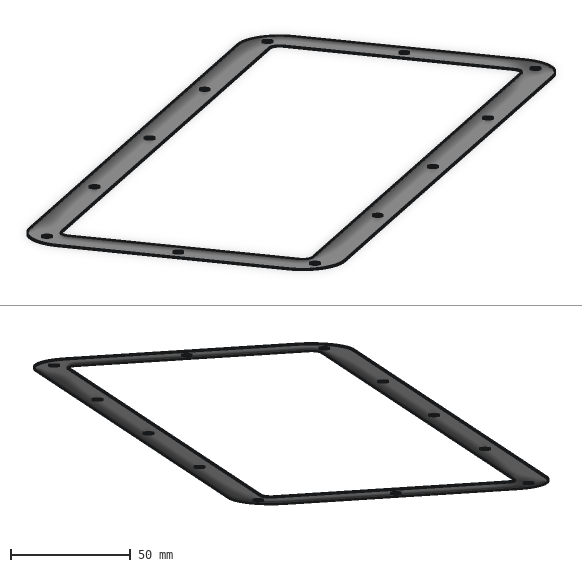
import math

import cadquery as cq

width = 139.0
length = 309.0
thickness = 0.5
rim = 14.0
outer_radius = 18.5
inner_radius = outer_radius - rim

hole_diameter = 4.1
hole_edge_offset = rim / 2

hole_arc_radius = outer_radius - hole_edge_offset
corner_hole_offset = outer_radius - hole_arc_radius * math.cos(math.radians(45))

corner_hole_x = width / 2 - corner_hole_offset
corner_hole_y = length / 2 - corner_hole_offset
side_hole_x = width / 2 - hole_edge_offset
end_hole_y = length / 2 - hole_edge_offset
side_hole_pitch = corner_hole_y / 2


def rounded_plate(size_x, size_y, corner_radius):
    """Plate standing on Z = 0 with rounded vertical corners."""
    plate = cq.Workplane("XY").box(size_x, size_y, thickness, centered=(True, True, False))
    return plate.edges("|Z").fillet(corner_radius)


def hole_centres():
    """Centres of the end, side and corner holes."""
    centres = []
    for side in (-1, 1):
        centres.append((0, side * end_hole_y))
        for step in (-1, 0, 1):
            centres.append((side * side_hole_x, step * side_hole_pitch))
        for end in (-1, 1):
            centres.append((side * corner_hole_x, end * corner_hole_y))
    return centres


frame = rounded_plate(width, length, outer_radius)
opening = rounded_plate(width - 2 * rim, length - 2 * rim, inner_radius)
holes = cq.Workplane("XY").pushPoints(hole_centres()).circle(hole_diameter / 2).extrude(thickness)

result = frame.cut(opening).cut(holes)